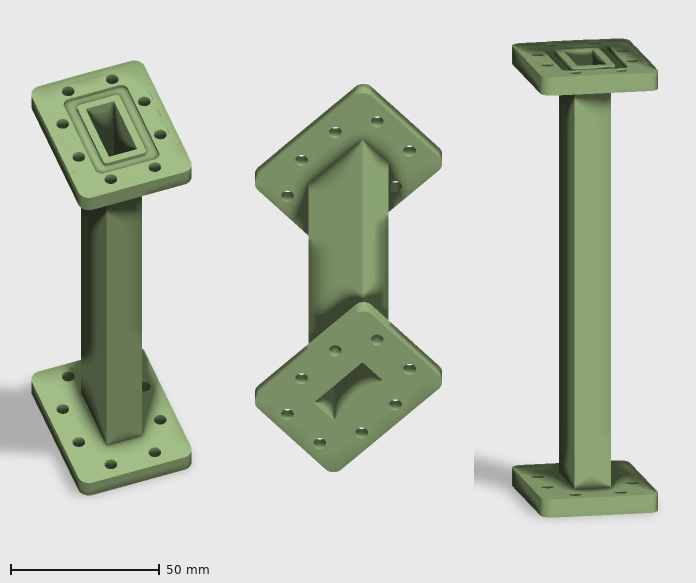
import cadquery as cq

FLANGE_X = 53.14
FLANGE_Y = 40.49
LENGTH = 152.6

FLANGE_THICKNESS = 6.35
FLANGE_CORNER_RADIUS = 3.8

BORE_X = 22.86
BORE_Y = 10.16
TUBE_WALL = 1.27
TUBE_X = BORE_X + 2 * TUBE_WALL
TUBE_Y = BORE_Y + 2 * TUBE_WALL

HOLE_DIAMETER = 4.3
HOLE_PITCH = 15.8
HOLE_ROW_X = 21.0
HOLE_ROW_Y = 14.65

GROOVE_INNER_X = 27.8
GROOVE_INNER_Y = 15.3
GROOVE_INNER_RADIUS = 1.2
GROOVE_WIDTH = 3.8
GROOVE_OUTER_X = GROOVE_INNER_X + 2 * GROOVE_WIDTH
GROOVE_OUTER_Y = GROOVE_INNER_Y + 2 * GROOVE_WIDTH
GROOVE_OUTER_RADIUS = 2.4
GROOVE_DEPTH = 1.3

PAD_WIDTH = 2.5
PAD_HEIGHT = 0.1
FACE_Z = LENGTH - PAD_HEIGHT


def block(size_x, size_y, height, base_z, corner_radius=0):
    """Box centred on the Z axis, standing on base_z, with optional rounded vertical edges."""
    body = cq.Workplane("XY", origin=(0, 0, base_z)).rect(size_x, size_y).extrude(height)
    if corner_radius:
        body = body.edges("|Z").fillet(corner_radius)
    return body


def bolt_holes():
    points = []
    for side in (-1, 1):
        for end in (-1, 1):
            points.append((side * HOLE_ROW_X, end * HOLE_PITCH / 2))
            points.append((end * HOLE_PITCH / 2, side * HOLE_ROW_Y))
    return cq.Workplane("XY").pushPoints(points).circle(HOLE_DIAMETER / 2).extrude(LENGTH)


def groove_island(base_z):
    return block(GROOVE_INNER_X, GROOVE_INNER_Y, LENGTH - base_z, base_z, GROOVE_INNER_RADIUS)


def gasket_groove():
    base_z = FACE_Z - GROOVE_DEPTH
    outer = block(GROOVE_OUTER_X, GROOVE_OUTER_Y, GROOVE_DEPTH, base_z, GROOVE_OUTER_RADIUS)
    return outer.cut(groove_island(base_z))


def edge_pads():
    """Strips along the flange edges, as long as the island inside the gasket groove."""
    along_x = block(GROOVE_INNER_X, FLANGE_Y, PAD_HEIGHT, FACE_Z)
    along_y = block(FLANGE_X, GROOVE_INNER_Y, PAD_HEIGHT, FACE_Z)
    middle = block(FLANGE_X - 2 * PAD_WIDTH, FLANGE_Y - 2 * PAD_WIDTH, PAD_HEIGHT, FACE_Z)
    return along_x.union(along_y).cut(middle)


result = block(TUBE_X, TUBE_Y, FACE_Z, 0)
for flange_base in (0, FACE_Z - FLANGE_THICKNESS):
    result = result.union(block(FLANGE_X, FLANGE_Y, FLANGE_THICKNESS, flange_base, FLANGE_CORNER_RADIUS))
result = result.cut(gasket_groove()).union(groove_island(FACE_Z)).union(edge_pads())
result = result.cut(bolt_holes()).cut(block(BORE_X, BORE_Y, LENGTH, 0))